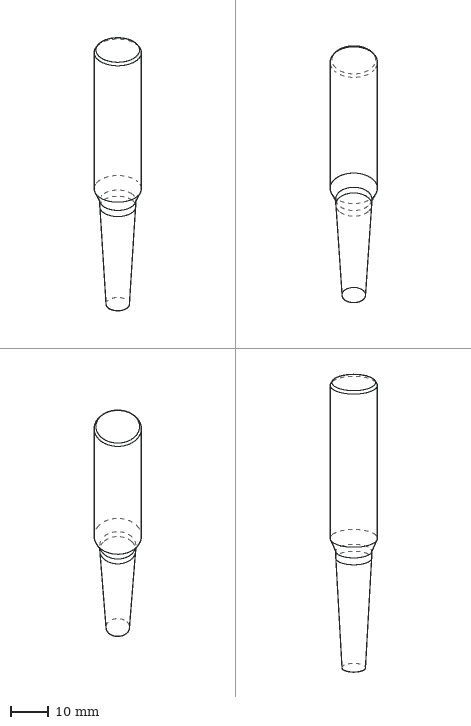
import cadquery as cq
import math

overall_length = 82.55
shank_diameter = 12.7

tip_diameter = 6.35
cutter_length = 31.75
taper_half_angle = 3.0

neck_length = 2.0
transition_length = 3.7
chamfer_height = 0.8
chamfer_width = 0.5

shank_radius = shank_diameter / 2
tip_radius = tip_diameter / 2
neck_radius = tip_radius + cutter_length * math.tan(math.radians(taper_half_angle))
neck_top = cutter_length + neck_length
transition_top = neck_top + transition_length


def revolve_about_z(profile):
    """Turn a closed (radius, height) outline into a round solid about the Z axis."""
    return cq.Workplane("YZ").polyline(profile).close().revolve(360, (0, 0), (0, 1))


def make_cutter():
    """Tapered cutting end, from the tip up to the neck."""
    return revolve_about_z([
        (0, 0),
        (tip_radius, 0),
        (neck_radius, cutter_length),
        (0, cutter_length),
    ])


def make_shank():
    """Neck, conical transition and cylindrical shank with a chamfered rear end."""
    return revolve_about_z([
        (0, cutter_length),
        (neck_radius, cutter_length),
        (neck_radius, neck_top),
        (shank_radius, transition_top),
        (shank_radius, overall_length - chamfer_height),
        (shank_radius - chamfer_width, overall_length),
        (0, overall_length),
    ])


cutter = make_cutter()
shank = make_shank()

result = cq.Compound.makeCompound([cutter.val(), shank.val()])